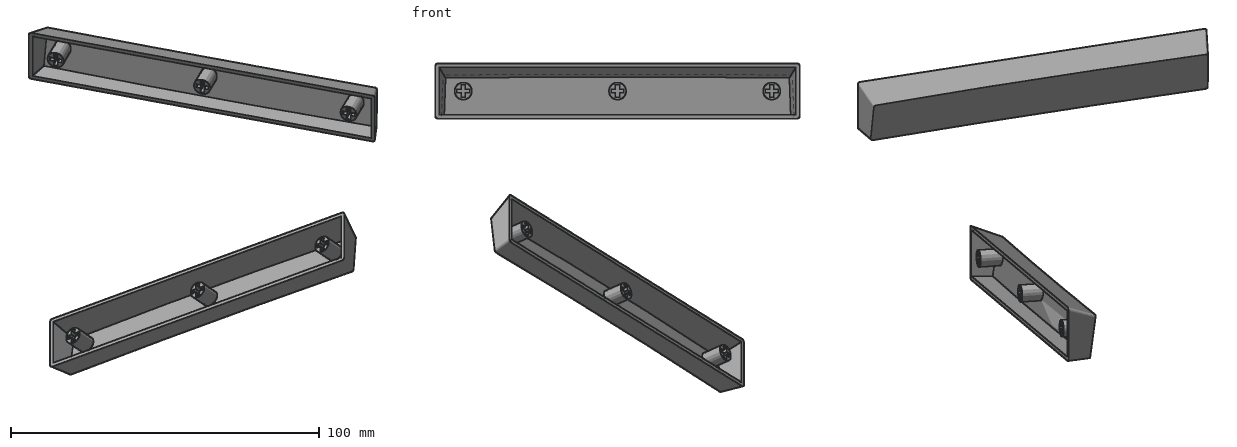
import cadquery as cq
import math

length = 118.1
height = 18.0
depth_top = 9.9
depth_bottom = 7.8
back_height = 14.3
side_inset = 2.5
corner_radius = 1.0
dish_depth = 0.6

rim_width = 1.3
back_thickness = 1.3
cavity_top_slope = 0.4

stem_diameter = 5.5
stem_spacing = 50.0
stem_front = 0.2
socket_length = 4.1
across_width = 1.2
upright_width = 1.4
socket_depth = 3.5

outer_top_slope = (height - back_height) / depth_top
back_slope = (depth_top - depth_bottom) / back_height
tilt = math.atan(back_slope)


def tapered_block(half_length, bottom, top, top_slope, back_offset):
    """Wedge with a sloping top and back, and ends leaning in towards the back."""
    back_at_floor = depth_bottom - back_offset
    upper_y = ((back_at_floor + back_slope * top)
               / (1 + back_slope * top_slope))
    upper_z = top - top_slope * upper_y
    lower_y = back_at_floor + back_slope * bottom
    side_profile = (
        cq.Workplane("YZ")
        .polyline([(0, bottom), (lower_y, bottom), (upper_y, upper_z), (0, top)])
        .close()
        .extrude(half_length, both=True)
    )
    back_half_length = half_length - side_inset
    plan = (
        cq.Workplane("XY")
        .polyline([(-half_length, 0), (half_length, 0),
                   (back_half_length, depth_top), (-back_half_length, depth_top)])
        .close()
        .extrude(height)
    )
    return side_profile.intersect(plan)


def dish(back_offset):
    """Shallow cylindrical segment running up the sloping back face."""
    half_chord = length / 2 - side_inset
    along_back = (0, math.sin(tilt), math.cos(tilt))
    plane = cq.Plane(
        origin=(0, depth_bottom - back_offset, 0), xDir=(1, 0, 0), normal=along_back
    )
    return (
        cq.Workplane(plane)
        .moveTo(-half_chord, 0)
        .threePointArc((0, -dish_depth), (half_chord, 0))
        .close()
        .extrude(height, both=True)
    )


def stem_blank(x):
    """Round post reaching into the back wall."""
    return (
        cq.Workplane("XZ", origin=(x, stem_front, height / 2))
        .circle(stem_diameter / 2)
        .extrude(-depth_top)
    )


def cross_socket(x):
    """Blind cross-shaped socket in a stem tip."""
    face = cq.Workplane("XZ", origin=(x, stem_front, height / 2))
    across = face.rect(socket_length, across_width).extrude(-socket_depth)
    upright = face.rect(upright_width, socket_length).extrude(-socket_depth)
    return across.union(upright)


body = tapered_block(length / 2, 0, height, outer_top_slope, 0)
corner_edges = body.faces("<X or >X").edges("<Z or >Z")
body = corner_edges.fillet(corner_radius).cut(dish(0))

cavity = tapered_block(
    length / 2 - rim_width, rim_width, height - rim_width, cavity_top_slope, back_thickness
).cut(dish(back_thickness))

result = body.cut(cavity)
for stem_x in (-stem_spacing, 0, stem_spacing):
    result = result.union(stem_blank(stem_x).intersect(cavity))
    result = result.cut(cross_socket(stem_x))